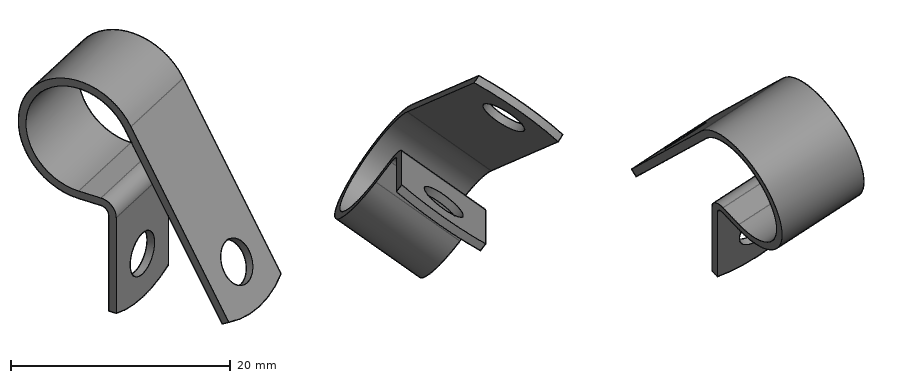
import cadquery as cq
import math

width = 9.52
thickness = 0.82
loop_radius = 6.37
foot_face_x = 3.97
bend_radius = 1.6
total_height = 24.8
arm_angle = 30.0
arm_length = 21.55
end_bulge = 0.9
hole_diameter = 4.41
hole_from_tip = 4.73

half_width = width / 2
inner_radius = loop_radius - thickness
inner_bend_radius = bend_radius - thickness
foot_bottom_z = loop_radius - total_height
bend_x = foot_face_x - bend_radius
bend_z = -inner_radius - bend_radius
bend_diagonal = math.sqrt(0.5)
arm_cos = math.cos(math.radians(arm_angle))
arm_sin = math.sin(math.radians(arm_angle))


def arm_point(radius, distance):
    """XZ point on the arm, a distance past its tangency with the given loop radius."""
    return (radius * arm_cos + distance * arm_sin, radius * arm_sin - distance * arm_cos)


def bend_middle(radius):
    """XZ midpoint of the quarter-circle foot bend."""
    return (bend_x + radius * bend_diagonal, bend_z + radius * bend_diagonal)


def make_strap():
    """Constant-thickness strap: foot, bend, loop and inclined arm."""
    return (
        cq.Workplane("XZ")
        .moveTo(foot_face_x, foot_bottom_z)
        .lineTo(foot_face_x, bend_z)
        .threePointArc(bend_middle(bend_radius), (bend_x, -inner_radius))
        .lineTo(0, -inner_radius)
        .threePointArc((-inner_radius, 0), arm_point(inner_radius, 0))
        .lineTo(*arm_point(inner_radius, arm_length))
        .lineTo(*arm_point(loop_radius, arm_length))
        .lineTo(*arm_point(loop_radius, 0))
        .threePointArc((-loop_radius, 0), (0, -loop_radius))
        .lineTo(bend_x, -loop_radius)
        .threePointArc(bend_middle(inner_bend_radius), (foot_face_x - thickness, bend_z))
        .lineTo(foot_face_x - thickness, foot_bottom_z)
        .close()
        .extrude(half_width, both=True)
    )


def end_cutter(tip, normal):
    """Hole and end-corner waste for a flat tab.

    The local origin is the tip on the outer face, local X runs along Y,
    local Y points back along the tab, and normal points out of the outer face.
    """
    plane = cq.Plane(origin=(tip[0], 0, tip[1]), xDir=(0, 1, 0), normal=normal)
    tab = cq.Workplane(plane)
    hole = tab.center(0, hole_from_tip).circle(hole_diameter / 2).extrude(thickness, both=True)
    corners = (
        tab.moveTo(-half_width, end_bulge)
        .threePointArc((0, 0), (half_width, end_bulge))
        .lineTo(half_width, -end_bulge)
        .lineTo(-half_width, -end_bulge)
        .close()
        .extrude(thickness, both=True)
    )
    return hole.union(corners)


foot_cutter = end_cutter((foot_face_x, foot_bottom_z), (1, 0, 0))
arm_cutter = end_cutter(arm_point(loop_radius, arm_length), (arm_cos, 0, arm_sin))
result = make_strap().cut(foot_cutter).cut(arm_cutter)